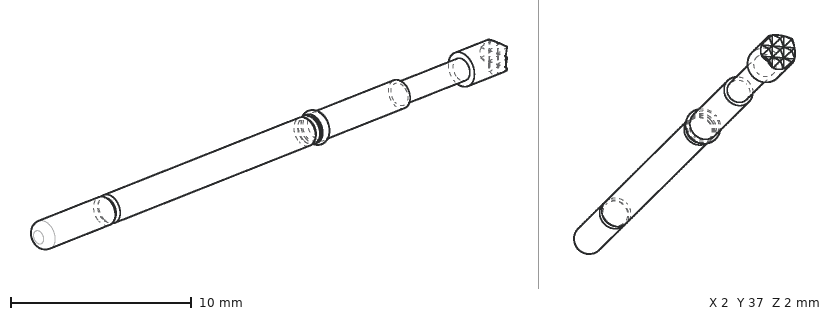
import cadquery as cq
import math

total_length = 37.0
head_diameter = 2.0
head_length = 3.0
plunger_diameter = 1.3
barrel_start = 8.0
barrel_diameter = 1.67
tail_round = 0.45

collar_start = 14.5
collar_length = 0.52
collar_diameter = 2.0

ridge_station = 15.25
neck_end = 15.6

crimp_start = 31.3
crimp_width = 0.4
groove_depth = 0.12

teeth_per_row = 3
cut_clearance = 1.0
tooth_pitch = 0.65
tooth_slope = 1.4

head_radius = head_diameter / 2
plunger_radius = plunger_diameter / 2
barrel_radius = barrel_diameter / 2
groove_radius = barrel_radius - groove_depth
collar_end = collar_start + collar_length


def at(radius, station):
    """Point of the revolved outline at a radius and a distance from the tip."""
    return (radius, collar_start - station)


def groove(outline, start, end):
    """Cut a V groove into the barrel; the outline already ends at the groove's start."""
    bottom = at(groove_radius, (start + end) / 2)
    return outline.lineTo(*bottom).lineTo(*at(barrel_radius, end))


def make_body():
    """Solid of revolution: head, plunger, barrel, collar, neck, crimp and tail."""
    outline = (
        cq.Workplane("XY")
        .moveTo(*at(0, 0))
        .lineTo(*at(head_radius, 0))
        .lineTo(*at(head_radius, head_length))
        .lineTo(*at(plunger_radius, head_length))
        .lineTo(*at(plunger_radius, barrel_start))
        .lineTo(*at(barrel_radius, barrel_start))
        .lineTo(*at(barrel_radius, collar_start))
        .threePointArc(
            at(collar_diameter / 2, (collar_start + collar_end) / 2),
            at(barrel_radius, collar_end),
        )
    )
    outline = outline.lineTo(*at(groove_radius, collar_end)).lineTo(*at(barrel_radius, ridge_station))
    outline = groove(outline, ridge_station, neck_end)
    outline = outline.lineTo(*at(barrel_radius, crimp_start))
    outline = groove(outline, crimp_start, crimp_start + crimp_width)
    diagonal = tail_round * math.sqrt(0.5)
    outline = (
        outline.lineTo(*at(barrel_radius, total_length - tail_round))
        .threePointArc(
            at(barrel_radius - tail_round + diagonal, total_length - tail_round + diagonal),
            at(barrel_radius - tail_round, total_length),
        )
        .lineTo(*at(0, total_length))
        .close()
    )
    return outline.revolve(360, (0, 0, 0), (0, 1, 0))


def make_tooth_gaps():
    """Zigzag prism along Z that clears the space around and between parallel rows of teeth."""
    _, tip = at(0, 0)
    above = tip + cut_clearance
    valley = tip - tooth_slope * tooth_pitch / 2
    outer_foot = tip - tooth_slope * tooth_pitch
    outermost_peak = tooth_pitch * (teeth_per_row - 1) / 2
    reach = outermost_peak + tooth_pitch

    points = [(-reach, above), (-reach, outer_foot), (-outermost_peak, tip)]
    for row in range(1, teeth_per_row):
        peak = -outermost_peak + row * tooth_pitch
        points += [(peak - tooth_pitch / 2, valley), (peak, tip)]
    points += [(reach, outer_foot), (reach, above)]
    return cq.Workplane("XY").polyline(points).close().extrude(head_diameter, both=True)


tooth_gaps = make_tooth_gaps()
crossing_gaps = tooth_gaps.rotate((0, 0, 0), (0, 1, 0), 90)
result = make_body().cut(tooth_gaps).cut(crossing_gaps)